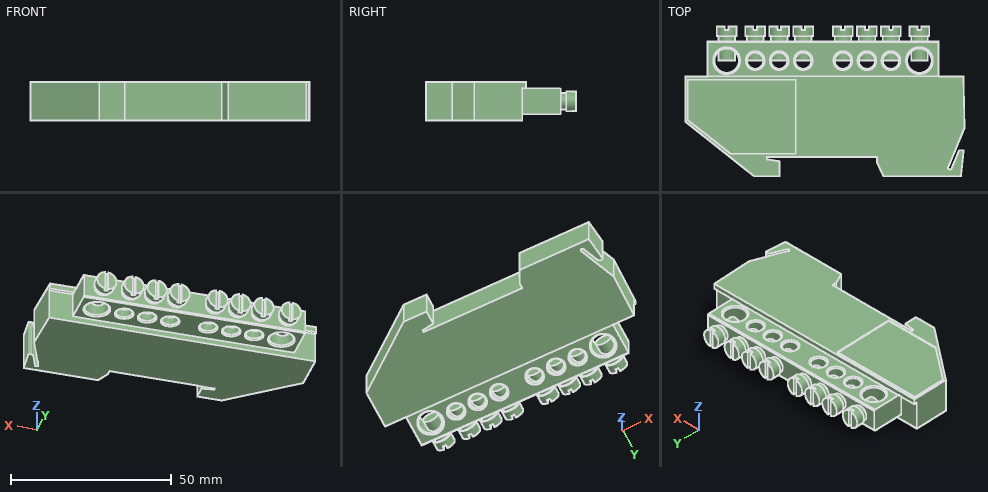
import cadquery as cq
import math

length = 87.0
thickness = 12.0
mid_z = thickness / 2
flange_y = 31.15
seat_y = 30.0
right_top_x = 86.65

left_corner_y = 17.0
left_foot_start_x = 21.4
left_foot_end_x = 29.4
left_hook_tip_y = 4.7
rail_y = 6.0
undercut_x = 25.4
undercut_y = 5.3
right_foot_shoulder_x = 59.7
right_foot_shoulder_y = 4.3
right_foot_start_x = 61.7
right_foot_end_x = 85.9

slot_radius = 0.5
slot_end_x = 82.4
slot_end_y = 2.6
slot_lean = math.radians(22.5)
finger_tip_x = 86.7
finger_tip_y = 8.2
finger_inner_radius = 0.8
finger_outer_radius = 0.35

label_left = 0.8
label_right = 34.4
label_top = 30.1
label_bottom = 7.05
label_corner_y = 17.5
label_corner_x = 14.1
label_depth = 0.3

bar_length = 72.0
bar_center_x = 42.9
bar_height = 8.2
bar_end_y = 42.0
bar_edge_chamfer = 0.35
bar_top_z = mid_z + bar_height / 2
hole_y = (seat_y + bar_end_y) / 2
small_hole_diameter = 5.05
large_hole_diameter = 7.6
hole_chamfer = 0.4

first_offset = 6.2
small_pitch = 7.5
small_count = 3
large_offset = 30.0
small_offsets = [first_offset + i * small_pitch for i in range(small_count)]
small_xs = [bar_center_x + side * offset for side in (-1, 1) for offset in small_offsets]
large_xs = [bar_center_x + side * large_offset for side in (-1, 1)]

screw_top_y = 46.7
head_diameter = 6.3
head_height = 3.05
shank_diameter = 5.2
drive_slot_width = 1.05
drive_slot_depth = 1.1


def slot_wall_point(side, distance):
    """Point on a slot wall (-1 left, 1 right), a distance up the wall from the round slot end."""
    x = slot_end_x + side * slot_radius * math.cos(slot_lean) + distance * math.sin(slot_lean)
    y = slot_end_y - side * slot_radius * math.sin(slot_lean) + distance * math.cos(slot_lean)
    return x, y


def make_housing_blank():
    left_wall_end = slot_wall_point(-1, 0)
    right_wall_end = slot_wall_point(1, 0)
    slot_bottom = (
        slot_end_x - slot_radius * math.sin(slot_lean),
        slot_end_y - slot_radius * math.cos(slot_lean),
    )
    nose = slot_wall_point(-1, (length - left_wall_end[0]) / math.sin(slot_lean))
    finger_inner = slot_wall_point(1, (finger_tip_y - right_wall_end[1]) / math.cos(slot_lean))

    blank = (
        cq.Workplane("XY")
        .moveTo(0, left_corner_y)
        .lineTo(left_foot_start_x, 0)
        .lineTo(left_foot_end_x, 0)
        .lineTo(left_foot_end_x, left_hook_tip_y)
        .lineTo(undercut_x, undercut_y)
        .lineTo(undercut_x, rail_y)
        .lineTo(right_foot_shoulder_x, rail_y)
        .lineTo(right_foot_shoulder_x, right_foot_shoulder_y)
        .lineTo(right_foot_start_x, 0)
        .lineTo(right_foot_end_x, 0)
        .lineTo(finger_tip_x, finger_tip_y)
        .lineTo(*finger_inner)
        .lineTo(*right_wall_end)
        .threePointArc(slot_bottom, left_wall_end)
        .lineTo(*nose)
        .lineTo(right_top_x, flange_y)
        .lineTo(0, flange_y)
        .close()
        .extrude(thickness)
    )
    inner_tip_edge = cq.selectors.NearestToPointSelector((*finger_inner, mid_z))
    outer_tip_edge = cq.selectors.NearestToPointSelector((finger_tip_x, finger_tip_y, mid_z))
    blank = blank.edges("|Z").edges(inner_tip_edge).fillet(finger_inner_radius)
    return blank.edges("|Z").edges(outer_tip_edge).fillet(finger_outer_radius)


def make_housing():
    below_flange = cq.Workplane("XY").box(
        length, flange_y - seat_y, bar_top_z, centered=False
    ).translate((0, seat_y, 0))
    label_recess = (
        cq.Workplane("XY")
        .workplane(offset=thickness - label_depth)
        .polyline([
            (label_left, label_top),
            (label_left, label_corner_y),
            (label_corner_x, label_bottom),
            (label_right, label_bottom),
            (label_right, label_top),
        ])
        .close()
        .extrude(label_depth)
    )
    return make_housing_blank().cut(below_flange).cut(label_recess)


def make_wire_hole(x, diameter):
    """Cutter for a hole through the bar along Z, chamfered at both ends."""
    radius = diameter / 2
    mouth_radius = radius + hole_chamfer
    half_height = bar_height / 2
    return (
        cq.Workplane("XZ")
        .polyline([
            (0, -half_height),
            (mouth_radius, -half_height),
            (radius, -half_height + hole_chamfer),
            (radius, half_height - hole_chamfer),
            (mouth_radius, half_height),
            (0, half_height),
        ])
        .close()
        .revolve(360, (0, 0, 0), (0, 1, 0))
        .translate((x, hole_y, mid_z))
    )


def make_cylinder_along_y(x, diameter, start_y, end_y):
    return cq.Workplane(
        cq.Solid.makeCylinder(
            diameter / 2, end_y - start_y, cq.Vector(x, start_y, mid_z), cq.Vector(0, 1, 0)
        )
    )


def make_bus_bar():
    bar = (
        cq.Workplane("XY")
        .box(bar_length, bar_end_y - seat_y, bar_height)
        .translate((bar_center_x, hole_y, mid_z))
        .faces(">Y").edges("|X").chamfer(bar_edge_chamfer)
    )
    for x in small_xs:
        bar = bar.cut(make_wire_hole(x, small_hole_diameter))
    for x in large_xs:
        bar = bar.cut(make_wire_hole(x, large_hole_diameter))
    for x in small_xs + large_xs:
        bar = bar.cut(make_cylinder_along_y(x, shank_diameter, hole_y, bar_end_y))
    return bar


def make_screw(x):
    shank = make_cylinder_along_y(x, shank_diameter, hole_y, screw_top_y - head_height)
    head = make_cylinder_along_y(x, head_diameter, screw_top_y - head_height, screw_top_y)
    drive_slot = cq.Workplane("XY").box(drive_slot_width, drive_slot_depth, head_diameter).translate(
        (x, screw_top_y - drive_slot_depth / 2, mid_z)
    )
    return shank.union(head).cut(drive_slot)


housing = make_housing()
bus_bar = make_bus_bar()
screws = [make_screw(x) for x in small_xs + large_xs]

result = cq.Compound.makeCompound([
    housing.solids().val(),
    bus_bar.solids().val(),
    *[screw.solids().val() for screw in screws],
])